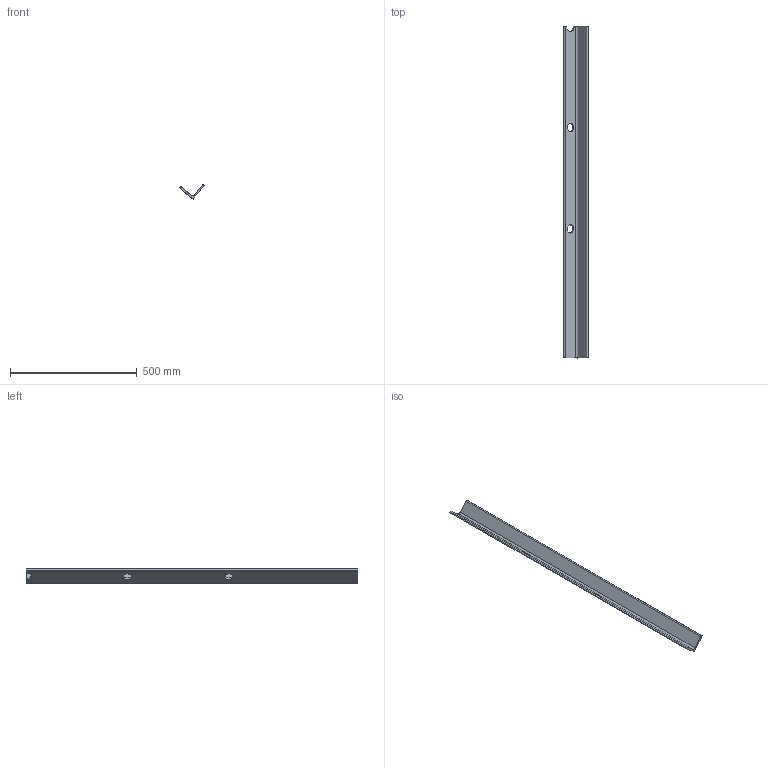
import cadquery as cq

leg = 70.0
thickness = 7.0
root_radius = 9.0
toe_radius = 4.5
length = 1310.0

tilt = 40.0

hole_diameter = 34.0
hole_gauge = 40.0
hole_pitch = 400.0
hole_count = 2

notch_diameter = 42.0

end_y = length / 2


def round_edge(body, x, z, radius):
    """Fillet the lengthwise edge nearest to (x, z)."""
    nearest = cq.selectors.NearestToPointSelector((x, 0, z))
    return body.edges("|Y").edges(nearest).fillet(radius)


def angle_bar():
    """Bar along Y with its heel on the Y axis, one leg toward -X and one toward +Z."""
    bar = (
        cq.Workplane("XZ", origin=(0, end_y, 0))
        .moveTo(0, 0)
        .lineTo(-leg, 0)
        .lineTo(-leg, thickness)
        .lineTo(-thickness, thickness)
        .lineTo(-thickness, leg)
        .lineTo(0, leg)
        .close()
        .extrude(length)
    )
    bar = round_edge(bar, -leg, thickness, toe_radius)
    bar = round_edge(bar, -thickness, leg, toe_radius)
    return round_edge(bar, -thickness, thickness, root_radius)


def leg_cylinder(diameter, distance_from_end):
    """Cylinder through the -X leg, on the gauge line."""
    centre = (-hole_gauge, end_y - distance_from_end)
    return cq.Workplane("XY").center(*centre).circle(diameter / 2).extrude(thickness)


bar = angle_bar().cut(leg_cylinder(notch_diameter, 0))
for i in range(1, hole_count + 1):
    bar = bar.cut(leg_cylinder(hole_diameter, i * hole_pitch))

result = bar.rotate((0, 0, 0), (0, 1, 0), tilt)